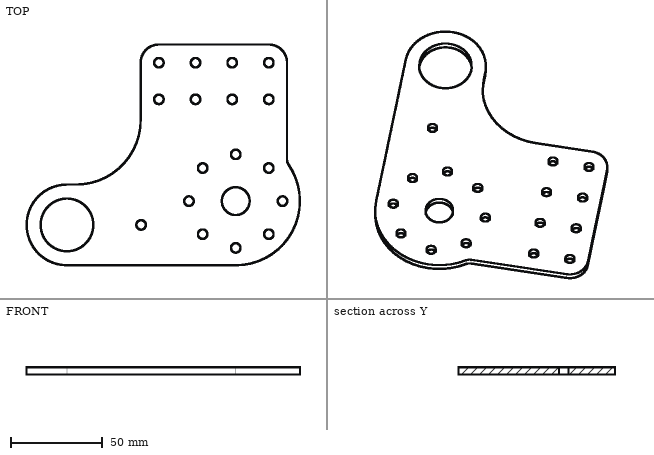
import cadquery as cq

length = 149.0
height = 120.4
thickness = 4.0

arm_radius = 22.0
bore_diameter = 28.6
arm_center = (arm_radius, arm_radius)

lobe_radius = 35.0
lobe_center = (length - lobe_radius, lobe_radius)
center_hole_diameter = 15.0
bolt_circle_radius = 25.5
bolt_count = 8

hole_pitch = 20.0
columns = 4
rows = 2
tab_corner_radius = hole_pitch / 2
tab_width = columns * hole_pitch
tab_overhang = 28.0
tab_right = lobe_center[0] + tab_overhang
tab_left = tab_right - tab_width

inner_corner_radius = 35.0
lobe_blend_radius = 5.0
small_hole_diameter = 5.0
arm_hole_offset = 40.4


def box(left, bottom, right, top):
    """Plate-thick block between two opposite corners."""
    return (
        cq.Workplane("XY")
        .moveTo((left + right) / 2, (bottom + top) / 2)
        .rect(right - left, top - bottom)
        .extrude(thickness)
    )


def discs(centers, diameter):
    """Plate-thick cylinders at the given centers."""
    return cq.Workplane("XY").pushPoints(centers).circle(diameter / 2).extrude(thickness)


def vertical_edge_at(x, y):
    """Selector for the upright edge passing through (x, y)."""
    return cq.selectors.NearestToPointSelector((x, y, thickness / 2))


def make_plate():
    arm_top = 2 * arm_radius
    lobe_junction_y = lobe_center[1] + (lobe_radius**2 - tab_overhang**2) ** 0.5

    plate = box(arm_center[0], 0, lobe_center[0], arm_top)
    plate = plate.union(discs([arm_center], 2 * arm_radius))
    plate = plate.union(discs([lobe_center], 2 * lobe_radius))
    plate = plate.union(box(tab_left, lobe_center[1], tab_right, height)).clean()

    for x in (tab_left, tab_right):
        plate = plate.edges("|Z").edges(vertical_edge_at(x, height)).fillet(tab_corner_radius)
    plate = plate.edges("|Z").edges(vertical_edge_at(tab_left, arm_top)).fillet(inner_corner_radius)
    plate = plate.edges("|Z").edges(vertical_edge_at(tab_right, lobe_junction_y)).fillet(lobe_blend_radius)
    return plate


def cut_holes(plate):
    tab_holes = [
        (tab_left + (column + 0.5) * hole_pitch, height - (row + 0.5) * hole_pitch)
        for column in range(columns)
        for row in range(rows)
    ]
    arm_hole = (arm_center[0] + arm_hole_offset, arm_center[1])
    bolt_holes = (
        cq.Workplane("XY")
        .center(*lobe_center)
        .polarArray(bolt_circle_radius, 0, 360, bolt_count)
        .circle(small_hole_diameter / 2)
        .extrude(thickness)
    )

    plate = plate.cut(discs([arm_center], bore_diameter))
    plate = plate.cut(discs([lobe_center], center_hole_diameter))
    plate = plate.cut(discs(tab_holes + [arm_hole], small_hole_diameter))
    return plate.cut(bolt_holes)


result = cut_holes(make_plate())